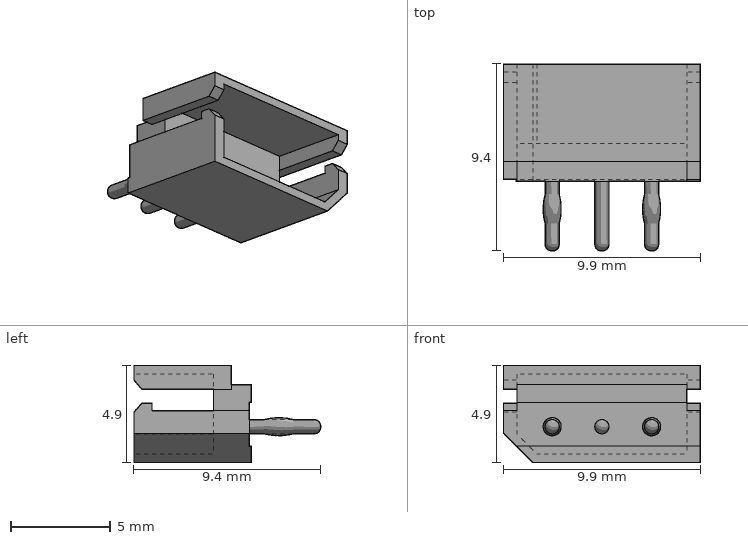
import cadquery as cq

WIDTH = 9.9
DEPTH = 5.9
HEIGHT = 4.9
HALF_WIDTH = WIDTH / 2
CORNER_CHAMFER = 1.48

SIDE_WALL = 0.68
FLOOR_WALL = 0.44
BASE_THICKNESS = 1.9
INNER_CHAMFER = 1.0

TOP_STEP_DEPTH = 1.0
TOP_STEP_Z = 3.93
RECESS_DEPTH = 0.1
RECESS_BOTTOM_Z = 0.84
RECESS_TOP_Z = 3.04

SLOT_BOTTOM_Z = 2.62
SLOT_TOP_Z = 3.69
LIP_TOP_Z = 3.0
LIP_LENGTH = 0.92
MOUTH_RUN = 0.4
MOUTH_RISE = 0.46

PIN_PITCH = 2.5
PIN_Z = 1.81
PIN_RADIUS = 0.36
PIN_ROOT_DEPTH = BASE_THICKNESS / 2
PIN_PROTRUSION = 3.5
PIN_TIP_ROUND = 0.33
BULGE_RADIUS = 0.46
BULGE_START = 0.65
BULGE_END = 2.13


def make_box(x_range, y_range, z_range):
    """Box spanning the given (low, high) limits on each axis."""
    size = [high - low for low, high in (x_range, y_range, z_range)]
    corner = (x_range[0], y_range[0], z_range[0])
    return cq.Workplane("XY").box(*size, centered=False).translate(corner)


def make_keyed_block(x_range, y_range, z_range, chamfer):
    """Box with its lower -X edge chamfered."""
    block = make_box(x_range, y_range, z_range)
    return block.edges("|Y and <X and <Z").chamfer(chamfer)


def make_side_slot(side):
    """Slot through the -X (side = -1) or +X (side = 1) wall, opening up into the top step in front."""
    outline = [
        (0, SLOT_BOTTOM_Z),
        (DEPTH - LIP_LENGTH, SLOT_BOTTOM_Z),
        (DEPTH - LIP_LENGTH, LIP_TOP_Z),
        (DEPTH - MOUTH_RUN, LIP_TOP_Z),
        (DEPTH, LIP_TOP_Z - MOUTH_RISE),
        (DEPTH, SLOT_TOP_Z + MOUTH_RISE),
        (DEPTH - MOUTH_RUN, SLOT_TOP_Z),
        (TOP_STEP_DEPTH, SLOT_TOP_Z),
        (TOP_STEP_DEPTH, TOP_STEP_Z),
        (0, TOP_STEP_Z),
    ]
    slot = cq.Workplane("YZ").polyline(outline).close().extrude(SIDE_WALL)
    start_x = -HALF_WIDTH if side < 0 else HALF_WIDTH - SIDE_WALL
    return slot.translate((start_x, 0, 0))


def make_housing():
    """Shrouded connector body without its pins."""
    full_width = (-HALF_WIDTH, HALF_WIDTH)
    inner_width = (SIDE_WALL - HALF_WIDTH, HALF_WIDTH - SIDE_WALL)
    body = make_keyed_block(full_width, (0, DEPTH), (0, HEIGHT), CORNER_CHAMFER)

    cavity = make_keyed_block(
        inner_width,
        (BASE_THICKNESS, DEPTH),
        (FLOOR_WALL, HEIGHT - FLOOR_WALL),
        INNER_CHAMFER,
    )
    top_step = make_box(full_width, (0, TOP_STEP_DEPTH), (TOP_STEP_Z, HEIGHT))
    front_recess = make_box(full_width, (0, RECESS_DEPTH), (RECESS_BOTTOM_Z, RECESS_TOP_Z))
    body = body.cut(cavity).cut(top_step).cut(front_recess)

    for side in (-1, 1):
        body = body.cut(make_side_slot(side))
    return body


def make_pin(x, bulged):
    """Round-tipped pin along Y, rooted in the base; bulged pins have a press-fit swelling."""
    profile = cq.Workplane("XY").moveTo(0, PIN_ROOT_DEPTH).lineTo(PIN_RADIUS, PIN_ROOT_DEPTH)
    if bulged:
        bulge_middle = (BULGE_RADIUS, -(BULGE_START + BULGE_END) / 2)
        profile = profile.lineTo(PIN_RADIUS, -BULGE_START)
        profile = profile.threePointArc(bulge_middle, (PIN_RADIUS, -BULGE_END))
    profile = profile.lineTo(PIN_RADIUS, -PIN_PROTRUSION).lineTo(0, -PIN_PROTRUSION).close()
    pin = profile.revolve(360, (0, 0, 0), (0, 1, 0))
    return pin.faces("<Y").edges().fillet(PIN_TIP_ROUND).translate((x, 0, PIN_Z))


result = make_housing()
for position in (-1, 0, 1):
    result = result.union(make_pin(position * PIN_PITCH, bulged=position != 0))